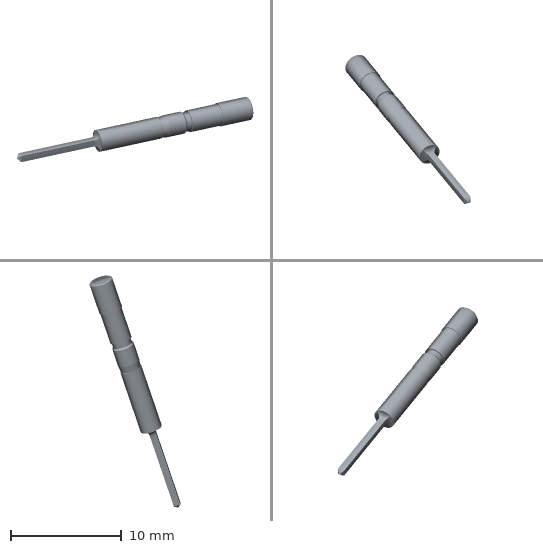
import cadquery as cq

LENGTH = 23.0

HEAD_DIA = 2.15
BODY_DIA = 2.0
COLLAR_DIA = 2.02
NECK_DIA = 1.77
TAPER_END_DIA = 1.86
GROOVE_DIA = 1.77

HEAD_END = 3.0
NECK_START = 6.0
NECK_END = 6.49
COLLAR_START = 6.62
COLLAR_END = 8.25
TAPER_END = 8.9
SLEEVE_START = 8.95
BODY_END = 15.0

HEAD_CHAMFER = 0.07

BLADE_WIDTH = 0.62
FLARE_RADIUS = 0.48

HEAD_FACE_Y = LENGTH / 2
TIP_Y = HEAD_FACE_Y - LENGTH


def turned_body():
    """Stepped round body, revolved about the Y axis."""
    head_radius = HEAD_DIA / 2
    body_radius = BODY_DIA / 2
    collar_radius = COLLAR_DIA / 2
    neck_radius = NECK_DIA / 2
    groove_radius = GROOVE_DIA / 2

    def at(distance):
        """Y position at a distance from the head end."""
        return HEAD_FACE_Y - distance

    profile = (
        cq.Workplane("XY")
        .moveTo(0, at(0))
        .lineTo(head_radius - HEAD_CHAMFER, at(0))
        .lineTo(head_radius, at(HEAD_CHAMFER))
        .lineTo(head_radius, at(HEAD_END))
        .lineTo(body_radius, at(HEAD_END))
        .lineTo(body_radius, at(NECK_START))
        .lineTo(neck_radius, at(NECK_START))
        .lineTo(neck_radius, at(NECK_END))
        .lineTo(collar_radius, at(COLLAR_START))
        .lineTo(collar_radius, at(COLLAR_END))
        .lineTo(TAPER_END_DIA / 2, at(TAPER_END))
        .lineTo(groove_radius, at(TAPER_END))
        .lineTo(groove_radius, at(SLEEVE_START))
        .lineTo(body_radius, at(SLEEVE_START))
        .lineTo(body_radius, at(BODY_END))
        .lineTo(0, at(BODY_END))
        .close()
    )
    return profile.revolve(360, (0, 0, 0), (0, 1, 0))


def blade():
    """Square blade with a pyramid tip and a concave flare trimmed to the body diameter."""
    half_width = BLADE_WIDTH / 2
    flare_half_width = half_width + FLARE_RADIUS
    shoulder_y = HEAD_FACE_Y - BODY_END
    flare_end_y = shoulder_y - FLARE_RADIUS
    tip_start_y = TIP_Y + half_width
    arc_rise = FLARE_RADIUS * (1 - 0.5 ** 0.5)
    arc_mid_x = half_width + arc_rise
    arc_mid_y = shoulder_y - arc_rise

    profile = (
        cq.Workplane("XY")
        .moveTo(0, TIP_Y)
        .lineTo(half_width, tip_start_y)
        .lineTo(half_width, flare_end_y)
        .threePointArc((arc_mid_x, arc_mid_y), (flare_half_width, shoulder_y))
        .lineTo(-flare_half_width, shoulder_y)
        .threePointArc((-arc_mid_x, arc_mid_y), (-half_width, flare_end_y))
        .lineTo(-half_width, tip_start_y)
        .close()
        .extrude(flare_half_width, both=True)
    )
    crossed = profile.intersect(profile.rotate((0, 0, 0), (0, 1, 0), 90))
    envelope = cq.Workplane("XZ", origin=(0, HEAD_FACE_Y, 0)).circle(BODY_DIA / 2).extrude(LENGTH)
    return crossed.intersect(envelope)


result = turned_body().union(blade())